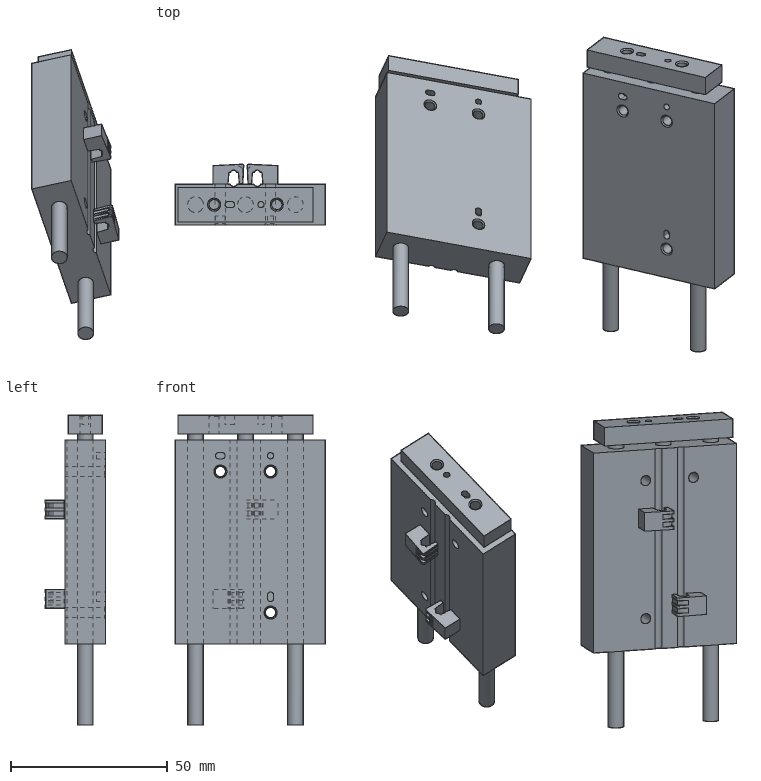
import cadquery as cq


housing_left = -22.5
housing_width = 48.0
housing_depth = 13.1
housing_height = 65.2
housing_front = -6.5
housing_back = housing_front + housing_depth

plate_width = 43.2
plate_depth = 11.0
plate_thickness = 6.0
plate_gap = 1.9
plate_bottom = housing_height + plate_gap

rod_diameter = 5.0
guide_rod_spacing = 31.9
guide_rod_overhang = 25.8

screw_diameter = 3.3
screw_mouth_diameter = 4.2
dowel_diameter = 2.0
dowel_slot_length = 3.1
dowel_depth = 3.0
screw_to_dowel = 5.0

housing_screw_x = 8.0
screw_inset = 10.1
screw_z_spacing = 45.0
upper_screw_z = housing_height - screw_inset
lower_screw_z = upper_screw_z - screw_z_spacing
plate_screw_x = 10.0
plate_dowel_x = plate_screw_x - screw_to_dowel

groove_diameter = 2.5
groove_offset = 3.8
groove_bottom = 0.7
clip_length = 6.0
clip_rib_length = 1.0
clip_rib_count = 3
left_clip_z = 11.5
right_clip_z = 40.0
clip_outer_offset = 10.4
clip_outer_height = 5.9
clip_tip_height = 6.4
arm_foot_offset = 0.8
arm_foot_clearance = 0.2
arm_tip_offset = 0.5
tip_radius = 0.6
cavity_foot_width = 3.6
cavity_top_width = 3.0
cavity_height = 3.8
relief_diameter = 2.0
relief_height = 3.5
notch_face_offset = 0.9
notch_face_height = 5.0
notch_top_offset = 4.4
notch_top_height = 6.2
notch_arc_diameter = 10.0


def screw_cutter(length):
    """Screw hole along +Z from the origin, with a 45 degree countersink at its mouth."""
    countersink = (screw_mouth_diameter - screw_diameter) / 2
    hole = cq.Workplane("XY").circle(screw_diameter / 2).extrude(length)
    mouth = cq.Workplane("XY").circle(screw_mouth_diameter / 2).extrude(countersink, taper=45)
    return hole.union(mouth)


def dowel_cutter(length):
    """Round dowel hole along +Z from the origin."""
    return cq.Workplane("XY").circle(dowel_diameter / 2).extrude(length)


def dowel_slot_cutter(length, angle=0):
    """Elongated dowel hole along +Z from the origin; angle 0 is long in X."""
    return cq.Workplane("XY").slot2D(dowel_slot_length, dowel_diameter, angle).extrude(length)


def from_front(cutter, x, z):
    """Turn a +Z cutter to enter the housing's front face at (x, z)."""
    return cutter.rotate((0, 0, 0), (1, 0, 0), -90).translate((x, housing_front, z))


def from_top(cutter, x):
    """Turn a +Z cutter to enter the plate's top face at x."""
    return cutter.rotate((0, 0, 0), (1, 0, 0), 180).translate((x, 0, plate_bottom + plate_thickness))


def guide_rod_points():
    return [(-guide_rod_spacing / 2, 0), (guide_rod_spacing / 2, 0)]


def make_housing():
    body = cq.Workplane("XY").box(housing_width, housing_depth, housing_height, centered=False)
    body = body.translate((housing_left, housing_front, 0))

    rod_bores = cq.Workplane("XY").pushPoints(guide_rod_points()).circle(rod_diameter / 2)
    body = body.cut(rod_bores.extrude(housing_height))

    groove_y = housing_back + groove_diameter / 2 - groove_bottom
    groove_points = [(-groove_offset, groove_y), (groove_offset, groove_y)]
    grooves = cq.Workplane("XY").pushPoints(groove_points).circle(groove_diameter / 2)
    body = body.cut(grooves.extrude(housing_height))

    screw_places = [
        (-housing_screw_x, upper_screw_z),
        (housing_screw_x, upper_screw_z),
        (housing_screw_x, lower_screw_z),
    ]
    for x, z in screw_places:
        body = body.cut(from_front(screw_cutter(housing_depth), x, z))

    upper_dowel_z = upper_screw_z + screw_to_dowel
    lower_dowel_z = lower_screw_z + screw_to_dowel
    body = body.cut(from_front(dowel_slot_cutter(dowel_depth), -housing_screw_x, upper_dowel_z))
    body = body.cut(from_front(dowel_cutter(dowel_depth), housing_screw_x, upper_dowel_z))
    return body.cut(from_front(dowel_slot_cutter(dowel_depth, 90), housing_screw_x, lower_dowel_z))


def make_yoke():
    """Plate with the piston rod that reaches down to the housing."""
    plate = cq.Workplane("XY").box(plate_width, plate_depth, plate_thickness, centered=(True, True, False))
    plate = plate.translate((0, 0, plate_bottom))
    for x in (-plate_screw_x, plate_screw_x):
        plate = plate.cut(from_top(screw_cutter(plate_thickness), x))
    plate = plate.cut(from_top(dowel_slot_cutter(dowel_depth), -plate_dowel_x))
    plate = plate.cut(from_top(dowel_cutter(dowel_depth), plate_dowel_x))

    piston_rod = cq.Workplane("XY").workplane(offset=housing_height).circle(rod_diameter / 2)
    return plate.union(piston_rod.extrude(plate_gap))


def make_guide_rod(point):
    """Rod from the plate's underside down through the housing."""
    rod = cq.Workplane("XY").workplane(offset=-guide_rod_overhang).center(*point)
    return rod.circle(rod_diameter / 2).extrude(guide_rod_overhang + plate_bottom)


def clip_cavity():
    """Tapered sensor opening with a round relief at its closed end."""
    half_foot = cavity_foot_width / 2
    half_top = cavity_top_width / 2
    opening = (
        cq.Workplane("XY")
        .moveTo(groove_offset - half_foot, 0)
        .lineTo(groove_offset - half_top, cavity_height)
        .lineTo(groove_offset + half_top, cavity_height)
        .lineTo(groove_offset + half_foot, 0)
        .close()
        .extrude(clip_length)
    )
    relief = cq.Workplane("XY").center(groove_offset, relief_height).circle(relief_diameter / 2)
    return opening.union(relief.extrude(clip_length))


def clip_notch(length):
    """Space between two ribs: clears the arm's inner face and rounds off its tip."""
    return (
        cq.Workplane("XY")
        .moveTo(0, 0)
        .lineTo(notch_face_offset, 0)
        .lineTo(notch_face_offset, notch_face_height)
        .radiusArc((notch_top_offset, notch_top_height), notch_arc_diameter / 2)
        .lineTo(notch_top_offset, clip_tip_height)
        .lineTo(0, clip_tip_height)
        .close()
        .extrude(length)
    )


def make_clip():
    """Hook over a sensor groove: a sloped block outside and a ribbed arm inside with a free end."""
    clip = (
        cq.Workplane("XY")
        .moveTo(arm_foot_offset, arm_foot_clearance)
        .lineTo(arm_tip_offset, clip_tip_height)
        .lineTo(clip_outer_offset, clip_outer_height)
        .lineTo(clip_outer_offset, 0)
        .lineTo(groove_offset, 0)
        .lineTo(groove_offset, arm_foot_clearance)
        .close()
        .extrude(clip_length)
    )
    tip_edge = cq.selectors.NearestToPointSelector((arm_tip_offset, clip_tip_height, clip_length / 2))
    clip = clip.edges(tip_edge).fillet(tip_radius)
    clip = clip.cut(clip_cavity())

    notch_count = clip_rib_count - 1
    notch_length = (clip_length - clip_rib_count * clip_rib_length) / notch_count
    for index in range(notch_count):
        notch_z = clip_rib_length + index * (clip_rib_length + notch_length)
        clip = clip.cut(clip_notch(notch_length).translate((0, 0, notch_z)))
    return clip


housing = make_housing()
yoke = make_yoke()
guide_rods = [make_guide_rod(point) for point in guide_rod_points()]
right_clip = make_clip().translate((0, housing_back, right_clip_z))
left_clip = make_clip().mirror("YZ").translate((0, housing_back, left_clip_z))

result = cq.Compound.makeCompound(
    [
        housing.val(),
        yoke.val(),
        *[rod.val() for rod in guide_rods],
        right_clip.val(),
        left_clip.val(),
    ]
)